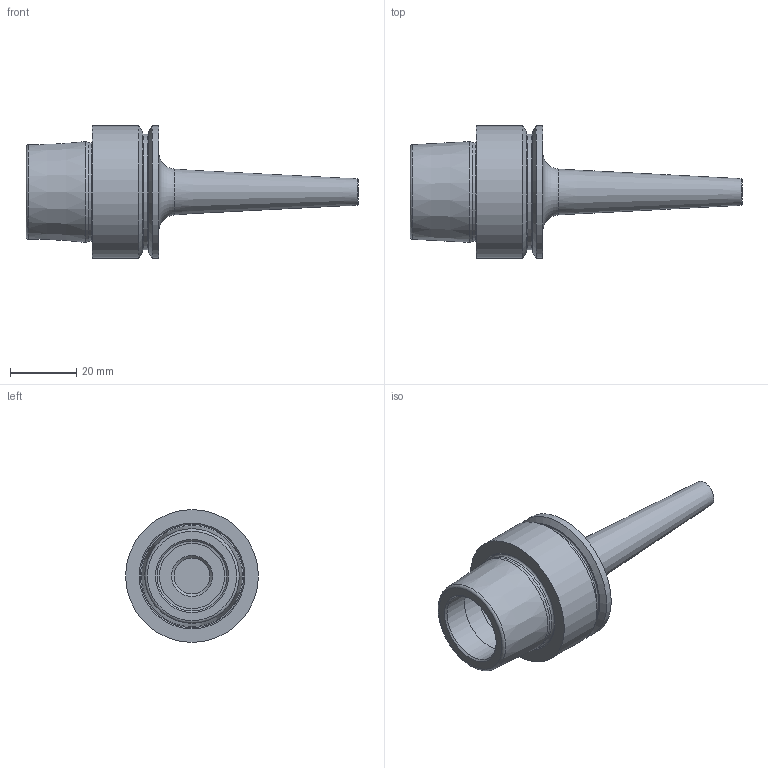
import cadquery as cq
import math

shank_length = 20.0
shank_end_radius = 14.2
shank_end_round = 0.8
taper_large_radius = 15.15
taper_front = -2.2
neck_radius = 14.9
neck_start = -1.1
neck_fillet_radius = 0.65
recess_depth = 0.3
recess_mouth_radius = 15.9

flange_radius = 20.0
flange_width = 20.0
groove_center = 16.0
groove_mouth_width = 4.1
groove_wall_spacing = 1.8
groove_wall_radius = 18.15
groove_floor_radius = 17.35
groove_corner_radius = 0.4

nose_end = 80.0
nose_tip_radius = 4.0
nose_half_angle = math.radians(3.0)
nose_tip_chamfer = 0.3
nose_fillet_radius = 5.0

bore_radius = 10.5
bore_mouth_radius = 11.0
bore_mouth_depth = 0.5
bore_depth = 8.0
relief_radius = 12.0
relief_depth = 17.4
relief_corner_radius = 2.2
pilot_radius = 5.4
pilot_mouth_radius = 6.2
pilot_mouth_depth = 0.8
pilot_depth = 20.0


def revolve_about_x(outline):
    """Revolve an outline drawn in (x, radius) about the X axis."""
    return outline.close().revolve(360, (0, 0, 0), (1, 0, 0))


def make_shank():
    """Tapered shank with a rounded end and a neck filleted into the flange recess."""
    end = -shank_length
    taper_length = taper_front + shank_length
    taper_angle = math.atan((taper_large_radius - shank_end_radius) / taper_length)
    round_center_x = end + shank_end_round
    round_center_r = (
        shank_end_radius + shank_end_round * math.tan(taper_angle) - shank_end_round / math.cos(taper_angle)
    )

    def round_point(angle):
        return (
            round_center_x - shank_end_round * math.cos(angle),
            round_center_r + shank_end_round * math.sin(angle),
        )

    sweep = math.pi / 2 - taper_angle
    fillet_start_x = recess_depth - neck_fillet_radius
    fillet_end_r = neck_radius + neck_fillet_radius
    fillet_offset = neck_fillet_radius * math.sqrt(0.5)
    outline = (
        cq.Workplane("XY")
        .moveTo(end, 0)
        .lineTo(*round_point(0))
        .threePointArc(round_point(sweep / 2), round_point(sweep))
        .lineTo(taper_front, taper_large_radius)
        .lineTo(neck_start, neck_radius)
        .lineTo(fillet_start_x, neck_radius)
        .threePointArc(
            (fillet_start_x + fillet_offset, fillet_end_r - fillet_offset),
            (recess_depth, fillet_end_r),
        )
        .lineTo(recess_depth, 0)
    )
    return revolve_about_x(outline)


def make_flange():
    """Flange with a shallow recess around the neck and a V groove with a rounded floor."""
    groove_half = groove_mouth_width / 2
    wall_half = groove_wall_spacing / 2
    floor_half = wall_half - groove_corner_radius
    corner_center_r = groove_floor_radius + groove_corner_radius
    corner_offset = groove_corner_radius * math.sqrt(0.5)
    corner_mid_half = floor_half + corner_offset
    corner_mid_r = corner_center_r - corner_offset
    outline = (
        cq.Workplane("XY")
        .moveTo(recess_depth, 0)
        .lineTo(recess_depth, neck_radius + neck_fillet_radius)
        .lineTo(0, recess_mouth_radius)
        .lineTo(0, flange_radius)
        .lineTo(groove_center - groove_half, flange_radius)
        .lineTo(groove_center - wall_half, groove_wall_radius)
        .lineTo(groove_center - wall_half, corner_center_r)
        .threePointArc(
            (groove_center - corner_mid_half, corner_mid_r),
            (groove_center - floor_half, groove_floor_radius),
        )
        .lineTo(groove_center + floor_half, groove_floor_radius)
        .threePointArc(
            (groove_center + corner_mid_half, corner_mid_r),
            (groove_center + wall_half, corner_center_r),
        )
        .lineTo(groove_center + wall_half, groove_wall_radius)
        .lineTo(groove_center + groove_half, flange_radius)
        .lineTo(flange_width, flange_radius)
        .lineTo(flange_width, 0)
    )
    return revolve_about_x(outline)


def make_nose():
    """Cone blended into the flange face by an arc tangent to both."""
    slope = math.tan(nose_half_angle)
    arc_center_x = flange_width + nose_fillet_radius
    cone_radius_at_center = nose_tip_radius + (nose_end - arc_center_x) * slope
    arc_center_r = cone_radius_at_center + nose_fillet_radius / math.cos(nose_half_angle)

    def arc_point(angle):
        return (
            arc_center_x - nose_fillet_radius * math.cos(angle),
            arc_center_r - nose_fillet_radius * math.sin(angle),
        )

    sweep = math.pi / 2 - nose_half_angle
    chamfer_start = nose_end - nose_tip_chamfer
    outline = (
        cq.Workplane("XY")
        .moveTo(flange_width, 0)
        .lineTo(*arc_point(0))
        .threePointArc(arc_point(sweep / 2), arc_point(sweep))
        .lineTo(chamfer_start, nose_tip_radius + nose_tip_chamfer * slope)
        .lineTo(nose_end, nose_tip_radius - nose_tip_chamfer)
        .lineTo(nose_end, 0)
    )
    return revolve_about_x(outline)


def make_bore():
    """Bore with a wider relief behind its lip, a rounded floor corner and a pilot hole."""
    corner_center_r = relief_radius - relief_corner_radius
    corner_start = relief_depth - relief_corner_radius
    corner_offset = relief_corner_radius * math.sqrt(0.5)
    outline = (
        cq.Workplane("XY", origin=(-shank_length, 0, 0))
        .lineTo(0, bore_mouth_radius)
        .lineTo(bore_mouth_depth, bore_radius)
        .lineTo(bore_depth, bore_radius)
        .lineTo(bore_depth, relief_radius)
        .lineTo(corner_start, relief_radius)
        .threePointArc(
            (corner_start + corner_offset, corner_center_r + corner_offset),
            (relief_depth, corner_center_r),
        )
        .lineTo(relief_depth, pilot_mouth_radius)
        .lineTo(relief_depth + pilot_mouth_depth, pilot_radius)
        .lineTo(pilot_depth, pilot_radius)
        .lineTo(pilot_depth, 0)
    )
    return revolve_about_x(outline)


result = make_shank().union(make_flange()).union(make_nose()).cut(make_bore())